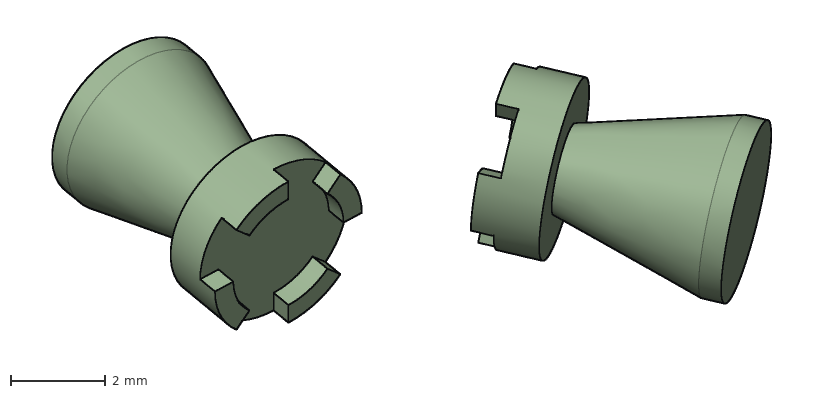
import cadquery as cq
import math

total_length = 5.5
outer_diameter = 4.0
rim_length = 0.5
head_length = 1.5
tooth_length = 0.5
tooth_ring_wall = 0.5
tooth_count = 4

outer_radius = outer_diameter / 2
neck_radius = outer_radius / 2
tooth_inner_radius = outer_radius - tooth_ring_wall
head_start = total_length - head_length
tooth_start = total_length - tooth_length
tooth_pitch = 360 / tooth_count
tooth_angle = tooth_pitch / 2
gap_angle = tooth_pitch - tooth_angle
gap_reach = outer_diameter


def polar_point(radius, degrees):
    """Point in the YZ plane, with the angle measured from +Y towards +Z."""
    angle = math.radians(degrees)
    return (radius * math.cos(angle), radius * math.sin(angle))


def make_body():
    """Revolve the rim, tapered shank and solid head about the X axis."""
    profile = (
        cq.Workplane("XY")
        .lineTo(0, outer_radius)
        .lineTo(rim_length, outer_radius)
        .lineTo(head_start, neck_radius)
        .lineTo(head_start, outer_radius)
        .lineTo(total_length, outer_radius)
        .lineTo(total_length, 0)
        .close()
    )
    return profile.revolve(360, (0, 0, 0), (1, 0, 0))


def make_recess():
    """Round recess enclosed by the ring of teeth."""
    return cq.Workplane("YZ", origin=(tooth_start, 0, 0)).circle(tooth_inner_radius).extrude(tooth_length)


def make_gap(start_angle):
    """Wedge with radial flanks, reaching past the rim, that parts two teeth."""
    return (
        cq.Workplane("YZ", origin=(tooth_start, 0, 0))
        .lineTo(*polar_point(gap_reach, start_angle))
        .lineTo(*polar_point(gap_reach, start_angle + gap_angle))
        .close()
        .extrude(tooth_length)
    )


result = make_body().cut(make_recess())
for gap_index in range(tooth_count):
    result = result.cut(make_gap(gap_index * tooth_pitch + tooth_angle))